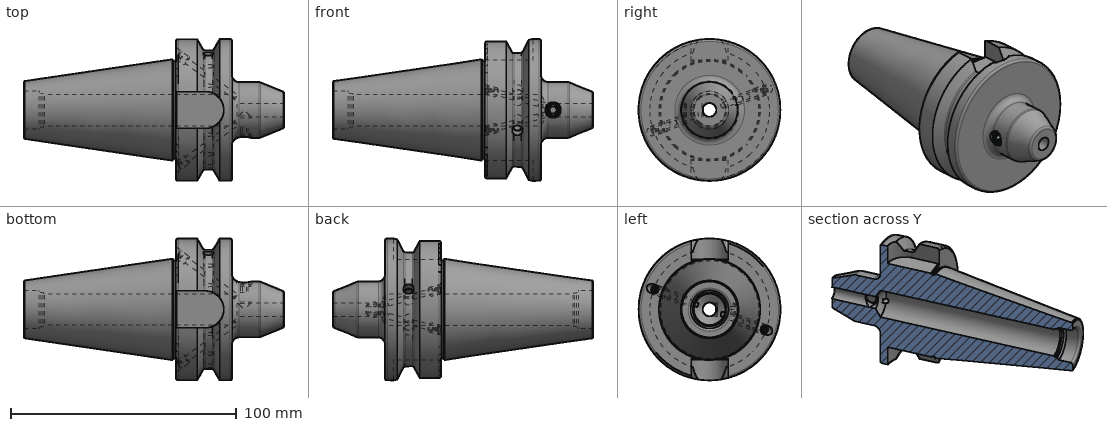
import cadquery as cq
import math


TOTAL_LENGTH = 115.4
TAPER_LENGTH = 65.8
COLLAR_END = 66.5
FLANGE_START = 67.4
FLANGE_END = 92.3
NOSE_CONE_START = 104.4

TAPER_SMALL_RADIUS = 12.8
TAPER_LARGE_RADIUS = 22.5
COLLAR_RADIUS = 22.2
RELIEF_RADIUS = 21.7
FLANGE_RADIUS = 31.5
NOSE_RADIUS = 12.5
TIP_RADIUS = 8.0

TAPER_EDGE_CHAMFER = 0.5
FLANGE_EDGE_FILLET = 1.0
NOSE_ROOT_FILLET = 3.0
NOSE_SHOULDER_FILLET = 2.1
TIP_FILLET = 1.3

GROOVE_CENTRE = 81.8
GROOVE_FLOOR_RADIUS = 26.5
GROOVE_FLOOR_WIDTH = 4.3
GROOVE_WALL_ANGLE = 30.0
GROOVE_FILLET = 0.7

KEYWAY_WIDTH = 16.4
KEYWAY_FLOOR = 22.3
KEYWAY_END = 88.6
KEYWAY_EDGE_CHAMFER = 0.5

COUNTERBORE_RADIUS = 8.4
COUNTERBORE_DEPTH = 6.6
MOUTH_ROUND = 1.2
PILOT_RADIUS = 7.5
PILOT_LENGTH = 0.9
THREAD_RADIUS = 6.9
BORE_DEPTH = 92.1
DRILL_TIP_ANGLE = 118.0
TOOL_BORE_RADIUS = 3.0

COOLANT_ROLLS = (20.0, 200.0)
COOLANT_TILT = 38.0
COOLANT_START_RADIUS = 26.9
FEED_RADIUS = 1.3
FEED_LENGTH = 33.5
PLUG_RADIUS = 2.1
PLUG_RECESS = 1.3
PLUG_LENGTH = 4.6
PLUG_CHAMFER = 0.5
PLUG_SOCKET_WIDTH = 1.8
PLUG_SOCKET_DEPTH = 1.8

CROSS_MOUTH_RADIUS = 2.3
CROSS_STEP_RADIUS = 20.8
CROSS_RADIUS = 2.1
CROSS_BOTTOM_RADIUS = 11.5

CLAMP_X = 97.6
CLAMP_RADIUS = 3.0
CLAMP_MOUTH_RADIUS = 3.5
CLAMP_HEAD_Y = 11.0
CLAMP_TIP_Y = 2.7
CLAMP_CHAMFER = 0.7
CLAMP_SOCKET_WIDTH = 3.0
CLAMP_SOCKET_DEPTH = 3.5


def hexagon_diameter(across_flats):
    """Corner-to-corner size of a hexagon."""
    return across_flats / math.cos(math.radians(30))


def revolve_about_x(profile):
    return profile.close().revolve(360, (0, 0, 0), (1, 0, 0))


def radial_cylinder(x, y_start, y_end, radius):
    """Cylinder parallel to Y, between two Y values, on the plane Z = 0."""
    return cq.Workplane("XZ", origin=(x, y_start, 0)).circle(radius).extrude(y_start - y_end)


def circle_edges(body, x, radius):
    """Select the full circles about the X axis with the given station and radius."""
    tolerance = 0.01
    found = [
        edge
        for edge in body.edges("%CIRCLE").vals()
        if abs(edge.Center().x - x) < tolerance and abs(edge.radius() - radius) < tolerance
    ]
    return body.newObject(found)


def turned_body():
    wall_run = (FLANGE_RADIUS - GROOVE_FLOOR_RADIUS) * math.tan(math.radians(GROOVE_WALL_ANGLE))
    floor_start = GROOVE_CENTRE - GROOVE_FLOOR_WIDTH / 2
    floor_end = GROOVE_CENTRE + GROOVE_FLOOR_WIDTH / 2
    body = revolve_about_x(
        cq.Workplane("XY")
        .moveTo(0, 0)
        .lineTo(0, TAPER_SMALL_RADIUS)
        .lineTo(TAPER_LENGTH, TAPER_LARGE_RADIUS)
        .lineTo(TAPER_LENGTH, COLLAR_RADIUS)
        .lineTo(COLLAR_END, COLLAR_RADIUS)
        .lineTo(COLLAR_END, RELIEF_RADIUS)
        .lineTo(FLANGE_START, RELIEF_RADIUS)
        .lineTo(FLANGE_START, FLANGE_RADIUS)
        .lineTo(floor_start - wall_run, FLANGE_RADIUS)
        .lineTo(floor_start, GROOVE_FLOOR_RADIUS)
        .lineTo(floor_end, GROOVE_FLOOR_RADIUS)
        .lineTo(floor_end + wall_run, FLANGE_RADIUS)
        .lineTo(FLANGE_END, FLANGE_RADIUS)
        .lineTo(FLANGE_END, NOSE_RADIUS)
        .lineTo(NOSE_CONE_START, NOSE_RADIUS)
        .lineTo(TOTAL_LENGTH, TIP_RADIUS)
        .lineTo(TOTAL_LENGTH, 0)
    )
    body = circle_edges(body, 0, TAPER_SMALL_RADIUS).chamfer(TAPER_EDGE_CHAMFER)
    rounded_edges = (
        (FLANGE_START, FLANGE_RADIUS, FLANGE_EDGE_FILLET),
        (floor_start, GROOVE_FLOOR_RADIUS, GROOVE_FILLET),
        (floor_end, GROOVE_FLOOR_RADIUS, GROOVE_FILLET),
        (FLANGE_END, FLANGE_RADIUS, FLANGE_EDGE_FILLET),
        (FLANGE_END, NOSE_RADIUS, NOSE_ROOT_FILLET),
        (NOSE_CONE_START, NOSE_RADIUS, NOSE_SHOULDER_FILLET),
        (TOTAL_LENGTH, TIP_RADIUS, TIP_FILLET),
    )
    for x, radius, fillet in rounded_edges:
        body = circle_edges(body, x, radius).fillet(fillet)
    return body


def keyway(side):
    """Round-ended slot, open at the rear face; side is +1 above the axis, -1 below."""
    half_width = KEYWAY_WIDTH / 2
    arc_start = KEYWAY_END - half_width
    return (
        cq.Workplane("XY", origin=(0, 0, side * KEYWAY_FLOOR))
        .moveTo(FLANGE_START, -half_width)
        .lineTo(arc_start, -half_width)
        .threePointArc((KEYWAY_END, 0), (arc_start, half_width))
        .lineTo(FLANGE_START, half_width)
        .close()
        .extrude(side * FLANGE_RADIUS)
    )


def central_bore():
    pilot_start = COUNTERBORE_DEPTH + COUNTERBORE_RADIUS - PILOT_RADIUS
    pilot_end = pilot_start + PILOT_LENGTH
    thread_start = pilot_end + PILOT_RADIUS - THREAD_RADIUS
    tip_run = (THREAD_RADIUS - TOOL_BORE_RADIUS) / math.tan(math.radians(DRILL_TIP_ANGLE / 2))
    return revolve_about_x(
        cq.Workplane("XY")
        .moveTo(0, 0)
        .lineTo(0, COUNTERBORE_RADIUS + MOUTH_ROUND)
        .radiusArc((MOUTH_ROUND, COUNTERBORE_RADIUS), -MOUTH_ROUND)
        .lineTo(COUNTERBORE_DEPTH, COUNTERBORE_RADIUS)
        .lineTo(pilot_start, PILOT_RADIUS)
        .lineTo(pilot_end, PILOT_RADIUS)
        .lineTo(thread_start, THREAD_RADIUS)
        .lineTo(BORE_DEPTH, THREAD_RADIUS)
        .lineTo(BORE_DEPTH + tip_run, TOOL_BORE_RADIUS)
        .lineTo(TOTAL_LENGTH, TOOL_BORE_RADIUS)
        .lineTo(TOTAL_LENGTH, 0)
    )


def place_on_feed(solid, roll):
    """Move a solid built along +Z from the origin onto a coolant feed axis."""
    return (
        solid.rotate((0, 0, 0), (0, 1, 0), 90)
        .rotate((0, 0, 0), (0, 0, 1), -COOLANT_TILT)
        .translate((FLANGE_START, COOLANT_START_RADIUS, 0))
        .rotate((0, 0, 0), (1, 0, 0), roll)
    )


def coolant_feed(roll):
    """Plug pocket at the flange face, then the narrower feed to the bore."""
    overshoot = 2 * PLUG_RADIUS
    pocket = (
        cq.Workplane("XY", origin=(0, 0, -overshoot))
        .circle(PLUG_RADIUS)
        .extrude(overshoot + PLUG_RECESS + PLUG_LENGTH)
    )
    feed = cq.Workplane("XY").circle(FEED_RADIUS).extrude(FEED_LENGTH)
    return place_on_feed(pocket.union(feed), roll)


def cross_hole(roll):
    mouth = radial_cylinder(GROOVE_CENTRE, CROSS_STEP_RADIUS, FLANGE_RADIUS, CROSS_MOUTH_RADIUS)
    inner = radial_cylinder(GROOVE_CENTRE, CROSS_BOTTOM_RADIUS, CROSS_STEP_RADIUS, CROSS_RADIUS)
    return mouth.union(inner).rotate((0, 0, 0), (1, 0, 0), roll)


def clamp_recess():
    """Countersunk recess over the clamping stud; its floor is the top of the stud."""
    countersink_depth = CLAMP_MOUTH_RADIUS - CLAMP_RADIUS
    mouth_y = CLAMP_HEAD_Y + countersink_depth
    return (
        cq.Workplane("XY")
        .moveTo(0, -CLAMP_HEAD_Y)
        .lineTo(CLAMP_RADIUS, -CLAMP_HEAD_Y)
        .lineTo(CLAMP_MOUTH_RADIUS, -mouth_y)
        .lineTo(CLAMP_MOUTH_RADIUS, -NOSE_RADIUS - NOSE_ROOT_FILLET)
        .lineTo(0, -NOSE_RADIUS - NOSE_ROOT_FILLET)
        .close()
        .revolve(360, (0, 0, 0), (0, 1, 0))
        .translate((CLAMP_X, 0, 0))
    )


def clamp_stud():
    """Chamfered stud with a hexagon socket; its tip stands slightly into the tool bore."""
    stud = radial_cylinder(CLAMP_X, -CLAMP_TIP_Y, -CLAMP_HEAD_Y, CLAMP_RADIUS)
    stud = stud.faces("<Y or >Y").chamfer(CLAMP_CHAMFER)
    socket = (
        cq.Workplane("XZ", origin=(CLAMP_X, -CLAMP_HEAD_Y, 0))
        .polygon(6, hexagon_diameter(CLAMP_SOCKET_WIDTH))
        .extrude(-CLAMP_SOCKET_DEPTH)
    )
    return stud.cut(socket)


def make_holder():
    body = turned_body()
    for side in (1, -1):
        body = body.cut(keyway(side))
    body = body.edges("|Y").chamfer(KEYWAY_EDGE_CHAMFER)
    body = body.cut(central_bore())
    for roll in COOLANT_ROLLS:
        body = body.cut(coolant_feed(roll)).cut(cross_hole(roll))
    stud_hole = radial_cylinder(CLAMP_X, 0, -CLAMP_HEAD_Y, CLAMP_RADIUS)
    return body.cut(stud_hole).cut(clamp_recess()).union(clamp_stud())


def make_plug(roll):
    outer_face = cq.Workplane("XY", origin=(0, 0, PLUG_RECESS))
    plug = outer_face.circle(PLUG_RADIUS).extrude(PLUG_LENGTH).faces("<Z").chamfer(PLUG_CHAMFER)
    socket = outer_face.polygon(6, hexagon_diameter(PLUG_SOCKET_WIDTH)).extrude(PLUG_SOCKET_DEPTH)
    return place_on_feed(plug.cut(socket), roll)


holder = make_holder()
plugs = [make_plug(roll) for roll in COOLANT_ROLLS]

result = cq.Compound.makeCompound([holder.val(), *[plug.val() for plug in plugs]])